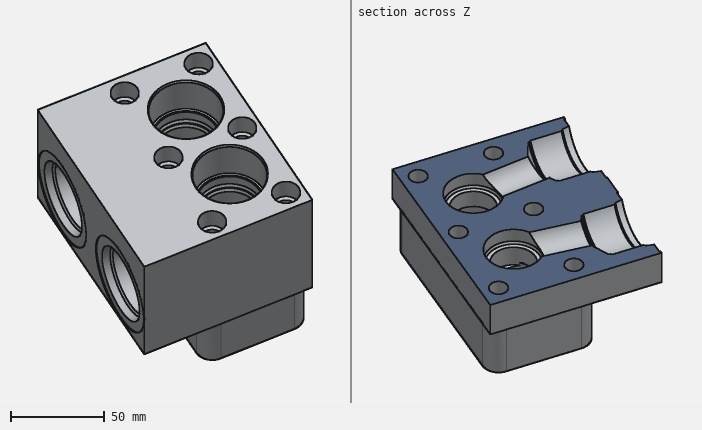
import cadquery as cq
import math

block_width = 123.8
block_depth = 101.5
block_height = 72.9
boss_height = 31.8
block_bottom = boss_height
block_top = block_bottom + block_height

bolt_pitch_x = 50.8
bolt_pitch_y = 44.6
bolt_back_margin = 10.2
bolt_diameter = 10.2
bolt_head_diameter = 15.2
bolt_head_depth = 12.4
bolt_back_y = block_depth - bolt_back_margin
pattern_center_y = bolt_back_y - bolt_pitch_y / 2

boss_width = 120.7
boss_depth = 63.8
boss_corner_radius = 9.7
boss_chamfer = 0.9

cavity_x = bolt_pitch_x / 2
cavity_back_margin = 31.0
cavity_y = block_depth - cavity_back_margin
mouth_radius = 20.5
mouth_depth = 1.2
upper_radius = 19.9
upper_depth = 23.0
ledge_radius = 18.5
ledge_lip_radius = 18.1
ledge_lip_depth = 0.6
neck_depth = 29.7
seat_radius = 17.1
seat_depth = 32.2
lower_radius = 16.1
floor_radius = 15.2
floor_depth = 61.9
pilot_radius = 12.8
pilot_depth = 74.3
seat_half_angle = 30.0

port_x = 33.4
port_height = 28.4
port_z = block_bottom + port_height
spotface_radius = 27.9
spotface_depth = 0.6
port_mouth_radius = 21.8
port_neck_radius = 20.8
port_neck_depth = 5.0
port_thread_radius = 19.8
port_thread_start = 6.2
port_thread_end = 24.4
port_drill_radius = 19.1
port_drill_end = 26.0
drill_half_angle = 59.0

passage_radius = 11.0
passage_height = 24.5
passage_z = block_bottom + passage_height

bottom_bore_x = 31.2
bottom_bore_radius = 17.0
bottom_bore_height = 32.2


def drill_tip(radius):
    """Length of the conical end left by a drill of the given radius."""
    return radius / math.tan(math.radians(drill_half_angle))


def cone_length(large_radius, small_radius):
    """Axial length of a cavity seat between two radii."""
    return (large_radius - small_radius) / math.tan(math.radians(seat_half_angle))


def revolved_hole(profile):
    """Solid of revolution about Z from (radius, depth) points, running down from Z = 0."""
    points = [(radius, -depth) for radius, depth in profile]
    return cq.Workplane("XZ").polyline(points).close().revolve(360, (0, 0), (0, 1))


def make_body():
    block = (
        cq.Workplane("XY", origin=(0, block_depth / 2, block_bottom))
        .box(block_width, block_depth, block_height, centered=(True, True, False))
    )
    boss = (
        cq.Workplane("XY", origin=(0, pattern_center_y, 0))
        .box(boss_width, boss_depth, boss_height, centered=(True, True, False))
        .edges("|Z").fillet(boss_corner_radius)
        .faces("<Z").chamfer(boss_chamfer)
    )
    return block.union(boss)


def cut_bolt_holes(body):
    return (
        body.faces(">Z").workplane(origin=(0, pattern_center_y, block_top))
        .rarray(bolt_pitch_x, bolt_pitch_y, 3, 2)
        .cboreHole(bolt_diameter, bolt_head_diameter, bolt_head_depth)
    )


def make_cavity():
    profile = [
        (0, 0),
        (mouth_radius, 0),
        (upper_radius, mouth_depth),
        (upper_radius, upper_depth),
        (ledge_radius, upper_depth),
        (ledge_lip_radius, upper_depth + ledge_lip_depth),
        (ledge_lip_radius, neck_depth),
        (seat_radius, neck_depth + cone_length(ledge_lip_radius, seat_radius)),
        (seat_radius, seat_depth),
        (lower_radius, seat_depth + cone_length(seat_radius, lower_radius)),
        (lower_radius, floor_depth - cone_length(lower_radius, floor_radius)),
        (floor_radius, floor_depth),
        (pilot_radius, floor_depth),
        (pilot_radius, pilot_depth),
        (0, pilot_depth + drill_tip(pilot_radius)),
    ]
    return revolved_hole(profile)


def make_port():
    profile = [
        (0, 0),
        (spotface_radius, 0),
        (spotface_radius, spotface_depth),
        (port_mouth_radius, spotface_depth),
        (port_neck_radius, port_neck_depth),
        (port_thread_radius, port_thread_start),
        (port_thread_radius, port_thread_end),
        (port_drill_radius, port_thread_end + port_thread_radius - port_drill_radius),
        (port_drill_radius, port_drill_end),
        (0, port_drill_end + drill_tip(port_drill_radius)),
    ]
    return revolved_hole(profile).rotate((0, 0, 0), (1, 0, 0), 90)


def make_passage(side):
    start = cq.Vector(side * port_x, 0, passage_z)
    end = cq.Vector(side * cavity_x, cavity_y, passage_z)
    axis = end - start
    return cq.Workplane(obj=cq.Solid.makeCylinder(passage_radius, axis.Length, start, axis))


def make_bottom_bore(side):
    return (
        cq.Workplane("XY", origin=(side * bottom_bore_x, pattern_center_y, 0))
        .circle(bottom_bore_radius).extrude(bottom_bore_height)
    )


result = cut_bolt_holes(make_body())
for side in (-1, 1):
    result = result.cut(make_cavity().translate((side * cavity_x, cavity_y, block_top)))
    result = result.cut(make_port().translate((side * port_x, 0, port_z)))
    result = result.cut(make_passage(side))
    result = result.cut(make_bottom_bore(side))